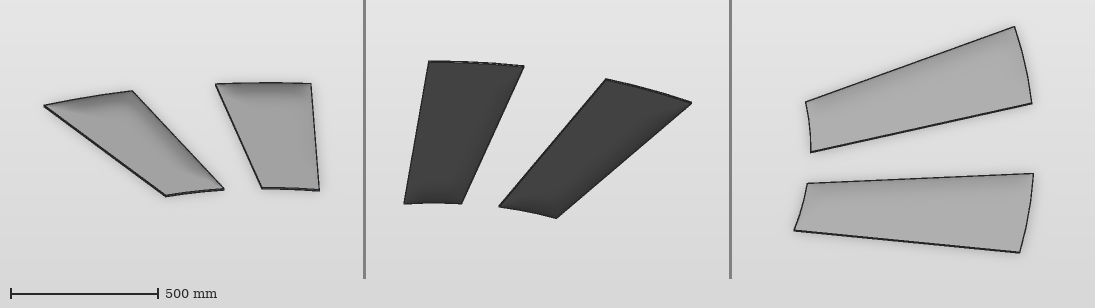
import cadquery as cq

plate_thickness = 6.3
outer_arc_radius = 1813.0
inner_arc_radius = 1018.0

lower_outer_near = (0.0, 0.0)
lower_outer_far = (70.0, 310.0)
lower_inner_far = (839.0, 193.0)
lower_inner_near = (774.0, 0.0)

upper_outer_near = (179.0, 575.0)
upper_outer_far = (350.0, 851.0)
upper_inner_far = (1018.0, 463.0)
upper_inner_near = (901.0, 307.0)


def make_blade(outer_near, outer_far, inner_far, inner_near):
    """Flat tapered blade whose two end arcs both bow toward its wide end."""
    return (
        cq.Workplane("XY")
        .moveTo(*outer_near)
        .radiusArc(outer_far, outer_arc_radius)
        .lineTo(*inner_far)
        .radiusArc(inner_near, -inner_arc_radius)
        .close()
        .extrude(plate_thickness)
    )


lower_blade = make_blade(lower_outer_near, lower_outer_far, lower_inner_far, lower_inner_near)
upper_blade = make_blade(upper_outer_near, upper_outer_far, upper_inner_far, upper_inner_near)

result = cq.Compound.makeCompound([lower_blade.val(), upper_blade.val()])